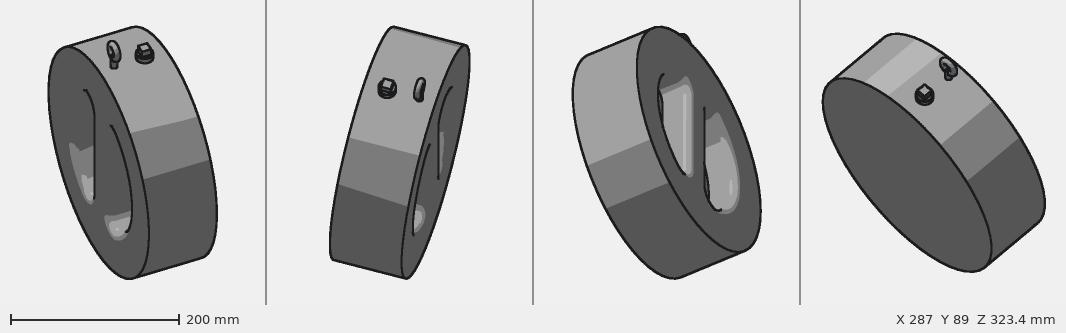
import cadquery as cq
import math

body_diameter = 287.0
body_width = 89.0
overall_height = 323.37
body_radius = body_diameter / 2
front_y = -body_width / 2

pocket_arc_radius = 87.5
pocket_corner_radius = 16.12
mouth_rounding = 10.0
web_width = 20.0
pocket_depth = 38.5

eye_wire_diameter = 8.0
eye_ring_diameter = 18.0
eye_ring_gap_angle = 36.0
eye_neck_base_drop = 12.6
eye_neck_height = 7.2
eye_neck_top_radius = 2.25
eye_y = -24.5
eye_z = overall_height - body_radius - (eye_ring_diameter + eye_wire_diameter) / 2

plug_y = 15.5
plug_collar_diameter = 20.96
plug_collar_height = 7.0
plug_collar_chamfer = 0.5
plug_head_side = 12.0
plug_head_height = 8.5

root_depth = 5.0


def make_body():
    return cq.Workplane("XZ").circle(body_radius).extrude(body_width / 2, both=True)


def pocket_outline():
    """D-shaped outline on the +X side: straight side, two corner arcs and one large arc."""
    straight_x = web_width / 2 + mouth_rounding
    corner_x = straight_x + pocket_corner_radius
    corner_distance = pocket_arc_radius - pocket_corner_radius
    corner_z = math.sqrt(corner_distance**2 - corner_x**2)
    tangent_x = corner_x * pocket_arc_radius / corner_distance
    tangent_z = corner_z * pocket_arc_radius / corner_distance
    middle_angle = (math.pi + math.atan2(corner_z, corner_x)) / 2
    middle_x = corner_x + pocket_corner_radius * math.cos(middle_angle)
    middle_z = corner_z + pocket_corner_radius * math.sin(middle_angle)
    return (
        cq.Workplane("XZ", origin=(0, front_y, 0))
        .moveTo(straight_x, -corner_z)
        .lineTo(straight_x, corner_z)
        .threePointArc((middle_x, middle_z), (tangent_x, tangent_z))
        .threePointArc((pocket_arc_radius, 0), (tangent_x, -tangent_z))
        .threePointArc((middle_x, -middle_z), (straight_x, -corner_z))
        .close()
    )


def cut_pockets(body):
    pocket = pocket_outline().extrude(-pocket_depth)
    body = body.cut(pocket).cut(pocket.mirror("YZ"))
    front_face = body.faces("<Y").val()
    mouth_edges = [edge for wire in front_face.innerWires() for edge in wire.Edges()]
    return body.newObject(mouth_edges).fillet(mouth_rounding)


def make_eye_bolt():
    wire_radius = eye_wire_diameter / 2
    ring_radius = eye_ring_diameter / 2
    stem_base_z = body_radius - root_depth
    stem_top_z = eye_z - eye_neck_base_drop
    stem = (
        cq.Workplane("XY", origin=(0, eye_y, stem_base_z))
        .circle(wire_radius)
        .extrude(stem_top_z - stem_base_z)
    )
    neck = cq.Workplane(
        cq.Solid.makeCone(
            wire_radius,
            eye_neck_top_radius,
            eye_neck_height,
            cq.Vector(0, eye_y, stem_top_z),
        )
    )
    ring = (
        cq.Workplane("XY", origin=(0, eye_y, eye_z))
        .center(ring_radius, 0)
        .circle(wire_radius)
        .revolve(360 - eye_ring_gap_angle, (-ring_radius, 0, 0), (-ring_radius, -1, 0))
        .rotate(
            (0, eye_y, eye_z),
            (0, eye_y + 1, eye_z),
            90 - eye_ring_gap_angle / 2,
        )
    )
    return stem.union(neck).union(ring)


def make_plug():
    collar = (
        cq.Workplane("XY", origin=(0, plug_y, body_radius - root_depth))
        .circle(plug_collar_diameter / 2)
        .extrude(root_depth + plug_collar_height)
    )
    head = (
        collar.faces(">Z")
        .workplane(origin=(0, plug_y, 0))
        .rect(plug_head_side, plug_head_side)
        .extrude(plug_head_height, combine=False)
    )
    return collar.faces(">Z").chamfer(plug_collar_chamfer).union(head)


result = cut_pockets(make_body()).union(make_eye_bolt()).union(make_plug())